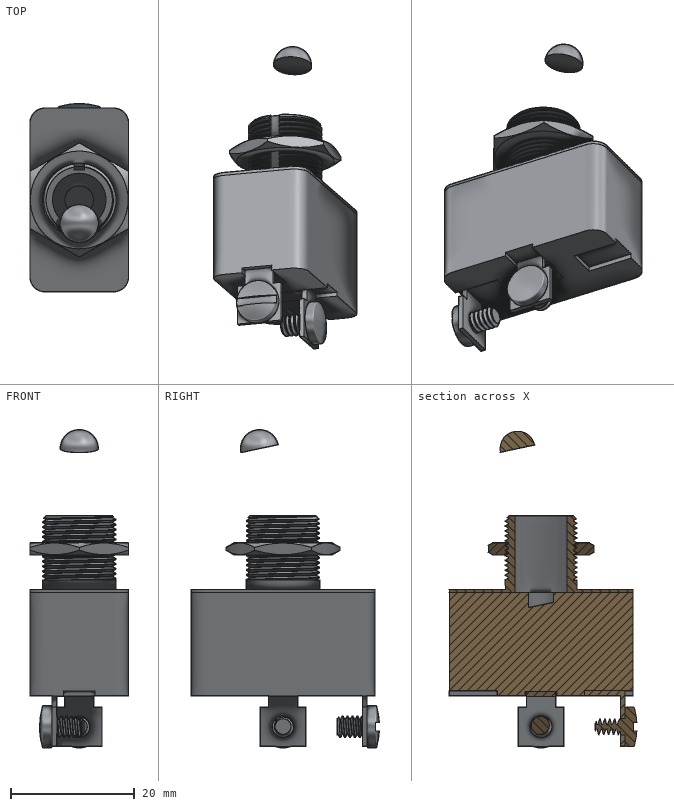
import cadquery as cq
import math

body_width = 16.0
body_length = 29.75
corner_radius = 2.5
housing_height = 16.7
plate_thickness = 0.5
plate_top = housing_height + plate_thickness

thread_pitch = 25.4 / 32
flank_half_angle = math.radians(30)
bushing_major = 11.91
bushing_minor = 10.88
bushing_bore = 8.64
bushing_height = 11.9
collar_height = 1.5
collar_top = plate_top + collar_height
bushing_top = plate_top + bushing_height
bushing_thread_start = -105
thread_chamfer = 0.6
keyway_width = 1.65
keyway_floor_y = 4.83

lever_tilt = 12.0
seat_diameter = 4.6
seat_depth = 2.0

cap_radius = 3.1
cap_offset_y = -3.8
cap_top = plate_top + 25.83

nut_across_flats = body_width
nut_across_corners = nut_across_flats / math.cos(math.pi / 6)
nut_height = 2.0
nut_bottom = plate_top + 5.55
nut_chamfer_angle = math.radians(30)
nut_face_diameter = 15.8
nut_countersink_angle = math.radians(45)

strip_thickness = 0.8
neck_width = 4.75
neck_height = 1.83
tab_width = 7.4
tab_height = 6.35
leg_length = 6.5
slot_width = 5.05
side_slot_depth = 0.65
end_slot_depth = strip_thickness
side_terminal_face = 4.43
end_terminal_face = 13.6

screw_major = 3.5
screw_minor = 2.47
screw_thread_start = 180
screw_length = 4.85
screw_tip_chamfer = 0.45
head_diameter = 6.86
head_rim = 1.55
head_height = 2.0
head_edge_fillet = 0.25
head_slot_width = 1.3
head_slot_depth = 0.65
screw_drop = neck_height + tab_height / 2


def cylinder(diameter, bottom, top):
    return cq.Workplane("XY").workplane(offset=bottom).circle(diameter / 2).extrude(top - bottom)


def block(x0, x1, y0, y1, z0, z1):
    return cq.Workplane("XY").box(x1 - x0, y1 - y0, z1 - z0, centered=False).translate((x0, y0, z0))


def thread_ridge(major, minor, bottom, turns, start_angle):
    """Right-handed helical V ridge, sunk a little into the core it winds around."""
    sink = 0.05
    root = minor / 2 - sink
    crest = major / 2
    crest_half = thread_pitch / 16
    root_half = crest_half + (crest - root) * math.tan(flank_half_angle)
    path = cq.Wire.makeHelix(thread_pitch, turns * thread_pitch, root)
    profile = (
        cq.Workplane("XZ")
        .moveTo(root, -root_half)
        .lineTo(crest, -crest_half)
        .lineTo(crest, crest_half)
        .lineTo(root, root_half)
        .close()
    )
    ridge = profile.sweep(cq.Workplane(path), isFrenet=True)
    return ridge.rotate((0, 0, 0), (0, 0, 1), start_angle).translate((0, 0, bottom))


def threaded_rod(major, minor, bottom, top, tip_chamfer, start_angle):
    """Upright threaded rod, plain at the bottom end and chamfered at the top end."""
    turns = math.ceil((top - bottom) / thread_pitch) + 2
    ridge = thread_ridge(major, minor, bottom - thread_pitch, turns, start_angle)
    clearance = 0.2
    envelope = cylinder(major + 2 * clearance, bottom, top).faces(">Z").chamfer(tip_chamfer + clearance)
    core = cylinder(minor, bottom, top).intersect(envelope)
    return core.union(ridge.intersect(envelope))


bushing_thread = threaded_rod(
    bushing_major, bushing_minor, collar_top, bushing_top, thread_chamfer, bushing_thread_start
)
screw_thread = threaded_rod(
    screw_major, screw_minor, strip_thickness, screw_length, screw_tip_chamfer, screw_thread_start
)


def make_housing():
    housing = cq.Workplane("XY").box(body_width, body_length, housing_height, centered=(True, True, False))
    housing = housing.edges("|Z").fillet(corner_radius)
    half = slot_width / 2
    slot_end_x = leg_length - side_terminal_face
    slot_end_y = end_terminal_face - leg_length
    housing = housing.cut(block(-body_width / 2, slot_end_x, -half, half, 0, side_slot_depth))
    housing = housing.cut(block(-half, half, slot_end_y, body_length / 2, 0, end_slot_depth))
    housing = housing.cut(block(-half, half, -body_length / 2, -slot_end_y, 0, end_slot_depth))
    seat_floor = (
        cq.Workplane("XY")
        .box(3 * seat_diameter, 3 * seat_diameter, 2 * seat_depth, centered=(True, True, False))
        .rotate((0, 0, 0), (1, 0, 0), lever_tilt)
        .translate((0, 0, housing_height - seat_depth))
    )
    seat = cylinder(seat_diameter, housing_height - 2 * seat_depth, housing_height)
    return housing.cut(seat.intersect(seat_floor))


def make_bushing():
    plate = (
        cq.Workplane("XY")
        .workplane(offset=housing_height)
        .rect(body_width, body_length)
        .extrude(plate_thickness)
        .edges("|Z")
        .fillet(corner_radius)
    )
    bushing = plate.union(cylinder(bushing_major, plate_top, collar_top)).union(bushing_thread)
    bushing = bushing.cut(cylinder(bushing_bore, housing_height, bushing_top))
    half = keyway_width / 2
    return bushing.cut(block(-half, half, keyway_floor_y, bushing_major, collar_top, bushing_top))


def make_nut():
    hexagon = (
        cq.Workplane("XY")
        .polygon(6, nut_across_corners)
        .extrude(nut_height)
        .rotate((0, 0, 0), (0, 0, 1), 30)
    )
    tip_radius = nut_across_corners / 2
    face_radius = nut_face_diameter / 2
    drop = (tip_radius - face_radius) * math.tan(nut_chamfer_angle)
    bore_radius = bushing_minor / 2
    mouth_radius = bushing_major / 2
    countersink = (mouth_radius - bore_radius) * math.tan(nut_countersink_angle)
    ring = (
        cq.Workplane("XZ")
        .moveTo(mouth_radius, 0)
        .lineTo(face_radius, 0)
        .lineTo(tip_radius, drop)
        .lineTo(tip_radius, nut_height - drop)
        .lineTo(face_radius, nut_height)
        .lineTo(mouth_radius, nut_height)
        .lineTo(bore_radius, nut_height - countersink)
        .lineTo(bore_radius, countersink)
        .close()
        .revolve(360, (0, 0, 0), (0, 1, 0))
    )
    blank = hexagon.intersect(ring).translate((0, 0, nut_bottom))
    return blank.cut(bushing_thread)


def make_cap():
    size = 4 * cap_radius
    upper_half = (
        cq.Workplane("XY")
        .box(size, size, size, centered=(True, True, False))
        .rotate((0, 0, 0), (1, 0, 0), lever_tilt)
    )
    ball = cq.Workplane("XY").sphere(cap_radius)
    return ball.intersect(upper_half).translate((0, cap_offset_y, cap_top - cap_radius))


def place(part, outer_face, turn):
    """Move a part whose outward side is -X at X = 0 to its terminal's outer face."""
    return part.translate((-outer_face, 0, 0)).rotate((0, 0, 0), (0, 0, 1), turn)


def make_terminal(top):
    """Terminal with its outer face on X = 0 and the top of its leg at the given height."""
    tab_top = -neck_height
    terminal = block(0, strip_thickness, -neck_width / 2, neck_width / 2, tab_top, top)
    tab = block(0, strip_thickness, -tab_width / 2, tab_width / 2, tab_top - tab_height, tab_top)
    leg = block(0, leg_length, -neck_width / 2, neck_width / 2, top - strip_thickness, top)
    hole = cylinder(screw_major, 0, strip_thickness).rotate((0, 0, 0), (0, 1, 0), 90)
    return terminal.union(tab).union(leg).cut(hole.translate((0, 0, -screw_drop)))


def make_screw(slotted):
    """Screw along +X with the underside of its head on X = 0."""
    head_radius = head_diameter / 2
    dome_edge = head_radius - head_edge_fillet
    dome_height = head_height - head_rim
    dome_radius = (dome_edge ** 2 + dome_height ** 2) / (2 * dome_height)
    profile = (
        cq.Workplane("XZ")
        .moveTo(0, 0)
        .lineTo(dome_edge, 0)
        .radiusArc((head_radius, -head_edge_fillet), head_edge_fillet)
        .lineTo(head_radius, head_edge_fillet - head_rim)
        .radiusArc((dome_edge, -head_rim), head_edge_fillet)
        .radiusArc((0, -head_height), dome_radius)
        .close()
    )
    head = profile.revolve(360, (0, 0, 0), (0, 1, 0))
    if slotted:
        half = head_slot_width / 2
        slot_floor = head_slot_depth - head_height
        head = head.cut(block(-half, half, -head_radius, head_radius, -2 * head_height, slot_floor))
    shank = cylinder(screw_major, 0, strip_thickness)
    screw = head.union(shank).union(screw_thread)
    return screw.rotate((0, 0, 0), (0, 1, 0), 90).translate((0, 0, -screw_drop))


terminal_places = [
    (side_terminal_face, side_slot_depth, 0, False),
    (end_terminal_face, end_slot_depth, -90, True),
]
hardware = []
for outer_face, leg_top, turn, slotted in terminal_places:
    hardware.append(place(make_terminal(leg_top), outer_face, turn).val())
    hardware.append(place(make_screw(slotted), outer_face, turn).val())

housing = make_housing()
bushing = make_bushing()
nut = make_nut()
cap = make_cap()
result = cq.Compound.makeCompound([housing.val(), bushing.val(), nut.val(), cap.val(), *hardware])